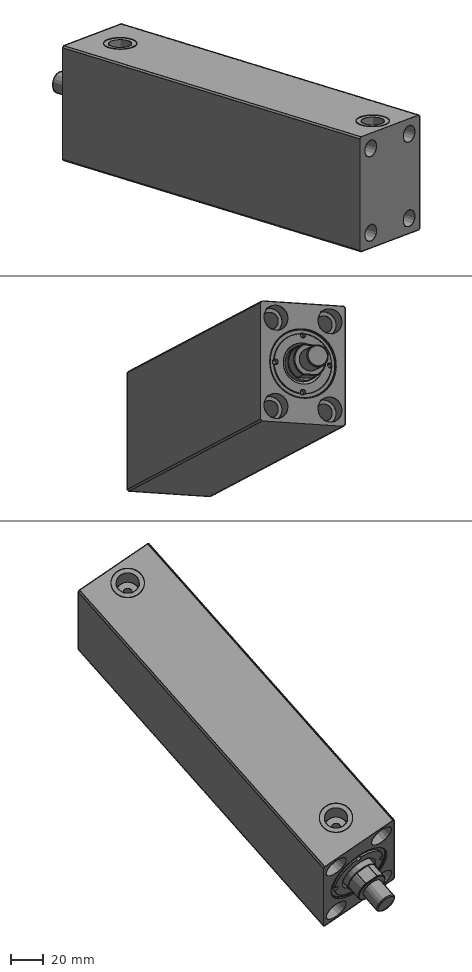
import cadquery as cq
import math


OVERALL_LENGTH = 272.5

FRONT_PROJECTION = 27.2
HOUSING_LENGTH = OVERALL_LENGTH - FRONT_PROJECTION
HOUSING_WIDTH = 55.0
HOUSING_HEIGHT = 75.0
HOUSING_CHAMFER = 1.0

BOLT_SPACING_Y = 35.2
BOLT_SPACING_Z = 55.0
BOLT_HOLE_DIAMETER = 10.5
BOLT_HEAD_DIAMETER = 15.5
BOLT_HEAD_DEPTH = 11.0

PORT_DIAMETER = 14.2
PORT_DEPTH = 12.0
PORT_SEAT_DIAMETER = 20.5
PORT_SEAT_DEPTH = 0.3
PORT_PASSAGE_DIAMETER = 5.5
FRONT_PORT_X = 23.0
REAR_PORT_X = HOUSING_LENGTH - 14.2
REAR_PASSAGE_DEPTH = 19.0

ROD_DIAMETER = 22.0
ROD_COLLAR_LENGTH = 3.3
ROD_FRONT_DIAMETER = 21.0
ROD_FRONT_LENGTH = 9.8
ROD_FLATS_WIDTH = 19.0
ROD_FRONT_CHAMFER = 0.5
ROD_INNER_LENGTH = 41.0
ROD_PROJECTION = ROD_COLLAR_LENGTH + ROD_FRONT_LENGTH

STUD_DIAMETER = 14.0
STUD_LENGTH = FRONT_PROJECTION - ROD_PROJECTION
STUD_CHAMFER = 0.68

GLAND_DIAMETER = 42.2
GLAND_LENGTH = 13.5
GLAND_NOSE_DIAMETER = 37.3
GLAND_NOSE_LENGTH = 1.4
GLAND_COUNTERSINK_DIAMETER = 25.5
GLAND_SEAT_CHAMFER = 0.5

SPANNER_HOLE_COUNT = 4
SPANNER_HOLE_DIAMETER = 3.3
SPANNER_HOLE_DEPTH = 4.0
SPANNER_CIRCLE_RADIUS = 17.7
DRILL_POINT_ANGLE = 118


def x_cylinder(diameter, x_start, x_end, y=0.0, z=0.0):
    """Round bar or drill along X."""
    return (
        cq.Workplane("YZ", origin=(x_start, y, z))
        .circle(diameter / 2)
        .extrude(x_end - x_start)
    )


def x_cone(start_diameter, end_diameter, x_start, x_end, y=0.0, z=0.0):
    """Cone along X, or its frustum, between two diameters."""
    return cq.Workplane(
        cq.Solid.makeCone(
            start_diameter / 2,
            end_diameter / 2,
            x_end - x_start,
            pnt=cq.Vector(x_start, y, z),
            dir=cq.Vector(1, 0, 0),
        )
    )


def z_drill(diameter, x, depth):
    """Drill straight down from the top face of the housing."""
    return (
        cq.Workplane("XY", origin=(x, 0, HOUSING_HEIGHT / 2))
        .circle(diameter / 2)
        .extrude(-depth)
    )


def port_cutter(x, passage_depth):
    """Shallow seat, threaded port and narrow oil passage on one axis."""
    return (
        z_drill(PORT_SEAT_DIAMETER, x, PORT_SEAT_DEPTH)
        .union(z_drill(PORT_DIAMETER, x, PORT_DEPTH))
        .union(z_drill(PORT_PASSAGE_DIAMETER, x, passage_depth))
    )


def make_housing():
    housing = (
        cq.Workplane("YZ")
        .rect(HOUSING_WIDTH, HOUSING_HEIGHT)
        .extrude(HOUSING_LENGTH)
        .edges("|X")
        .chamfer(HOUSING_CHAMFER)
    )

    for side_y in (-1, 1):
        for side_z in (-1, 1):
            y = side_y * BOLT_SPACING_Y / 2
            z = side_z * BOLT_SPACING_Z / 2
            housing = housing.cut(x_cylinder(BOLT_HOLE_DIAMETER, 0, HOUSING_LENGTH, y, z))
            housing = housing.cut(x_cylinder(BOLT_HEAD_DIAMETER, 0, BOLT_HEAD_DEPTH, y, z))

    housing = housing.cut(port_cutter(FRONT_PORT_X, HOUSING_HEIGHT / 2))
    housing = housing.cut(port_cutter(REAR_PORT_X, REAR_PASSAGE_DEPTH))

    mouth_diameter = GLAND_DIAMETER + 2 * GLAND_SEAT_CHAMFER
    housing = housing.cut(x_cylinder(GLAND_DIAMETER, 0, GLAND_LENGTH))
    housing = housing.cut(x_cone(mouth_diameter, GLAND_DIAMETER, 0, GLAND_SEAT_CHAMFER))
    return housing.cut(x_cylinder(ROD_DIAMETER, 0, ROD_INNER_LENGTH))


def make_gland():
    gland = x_cylinder(GLAND_NOSE_DIAMETER, 0, GLAND_LENGTH)
    gland = gland.union(x_cylinder(GLAND_DIAMETER, GLAND_NOSE_LENGTH, GLAND_LENGTH))

    countersink_depth = (GLAND_COUNTERSINK_DIAMETER - ROD_DIAMETER) / 2
    gland = gland.cut(x_cylinder(ROD_DIAMETER, 0, GLAND_LENGTH))
    gland = gland.cut(x_cone(GLAND_COUNTERSINK_DIAMETER, ROD_DIAMETER, 0, countersink_depth))

    point_length = SPANNER_HOLE_DIAMETER / 2 / math.tan(math.radians(DRILL_POINT_ANGLE / 2))
    point_end = SPANNER_HOLE_DEPTH + point_length
    for i in range(SPANNER_HOLE_COUNT):
        angle = 2 * math.pi * i / SPANNER_HOLE_COUNT
        y = SPANNER_CIRCLE_RADIUS * math.cos(angle)
        z = SPANNER_CIRCLE_RADIUS * math.sin(angle)
        gland = gland.cut(x_cylinder(SPANNER_HOLE_DIAMETER, 0, SPANNER_HOLE_DEPTH, y, z))
        gland = gland.cut(x_cone(SPANNER_HOLE_DIAMETER, 0, SPANNER_HOLE_DEPTH, point_end, y, z))
    return gland


def make_rod():
    flats = cq.Workplane("XY").box(2 * OVERALL_LENGTH, ROD_DIAMETER, ROD_FLATS_WIDTH)
    front = (
        x_cylinder(ROD_FRONT_DIAMETER, -ROD_PROJECTION, -ROD_COLLAR_LENGTH)
        .intersect(flats)
        .faces("<X")
        .chamfer(ROD_FRONT_CHAMFER)
    )
    return x_cylinder(ROD_DIAMETER, -ROD_COLLAR_LENGTH, ROD_INNER_LENGTH).union(front)


def make_stud():
    return (
        x_cylinder(STUD_DIAMETER, -ROD_PROJECTION - STUD_LENGTH, -ROD_PROJECTION)
        .faces("<X")
        .chamfer(STUD_CHAMFER)
    )


housing = make_housing()
gland = make_gland()
rod = make_rod()
stud = make_stud()

result = cq.Compound.makeCompound([housing.val(), gland.val(), rod.val(), stud.val()])